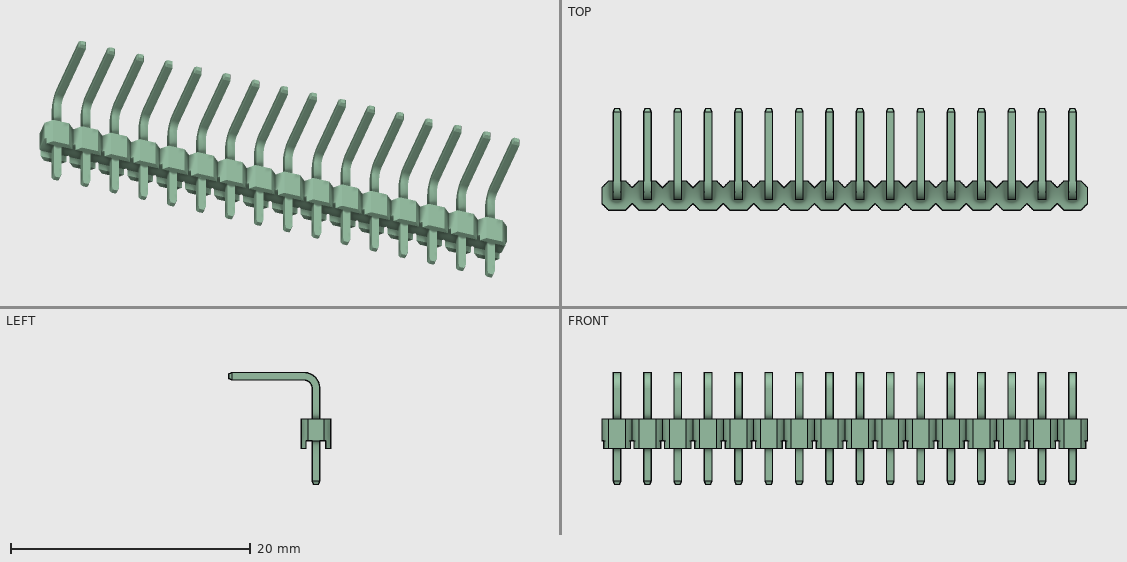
import cadquery as cq


bar_length = 40.65
pin_count = 16
pitch = bar_length / pin_count
bar_depth = 2.48
bar_height = 2.48
corner_cut = 0.55
channel_width = 1.63
channel_depth = 0.65

overall_depth = 8.55

pin_size = 0.65
pin_top = 6.4
pin_bottom = -3.0
pin_reach = overall_depth - bar_depth / 2
bend_radius = 1.0
tip_length = 0.3
tip_inset = 0.12


def make_segment(x):
    """Octagonal block of the bar around one pin."""
    return (
        cq.Workplane("XY")
        .box(pitch, bar_depth, bar_height, centered=(True, True, False))
        .edges("|Z")
        .chamfer(corner_cut)
        .translate((x, 0, 0))
    )


def make_tip(plane):
    """Tapered end of a pin, growing along the plane's normal."""
    end_size = pin_size - 2 * tip_inset
    return (
        cq.Workplane(plane)
        .rect(pin_size, pin_size)
        .workplane(offset=tip_length)
        .rect(end_size, end_size)
        .loft(ruled=True)
    )


def make_pin():
    """Pin on the Z axis, bent to point along +Y, with tapered tips."""
    lower_end = pin_bottom + tip_length
    leg_height = pin_top - pin_size / 2
    outer_end = pin_reach - tip_length

    path = (
        cq.Workplane("YZ")
        .moveTo(0, lower_end)
        .lineTo(0, leg_height - bend_radius)
        .radiusArc((bend_radius, leg_height), bend_radius)
        .lineTo(outer_end, leg_height)
    )
    shank = cq.Workplane("XY", origin=(0, 0, lower_end)).rect(pin_size, pin_size).sweep(path)

    lower_tip = make_tip(cq.Plane((0, 0, lower_end), (1, 0, 0), (0, 0, -1)))
    outer_tip = make_tip(cq.Plane((0, outer_end, leg_height), (1, 0, 0), (0, 1, 0)))
    return shank.union(lower_tip).union(outer_tip)


pin_positions = [(i - (pin_count - 1) / 2) * pitch for i in range(pin_count)]

bar = make_segment(pin_positions[0])
for x in pin_positions[1:]:
    bar = bar.union(make_segment(x))

channel = cq.Workplane("XY").box(
    bar_length, channel_width, channel_depth, centered=(True, True, False)
)
bar = bar.cut(channel)

pin = make_pin()
result = bar
for x in pin_positions:
    result = result.union(pin.translate((x, 0, 0)))